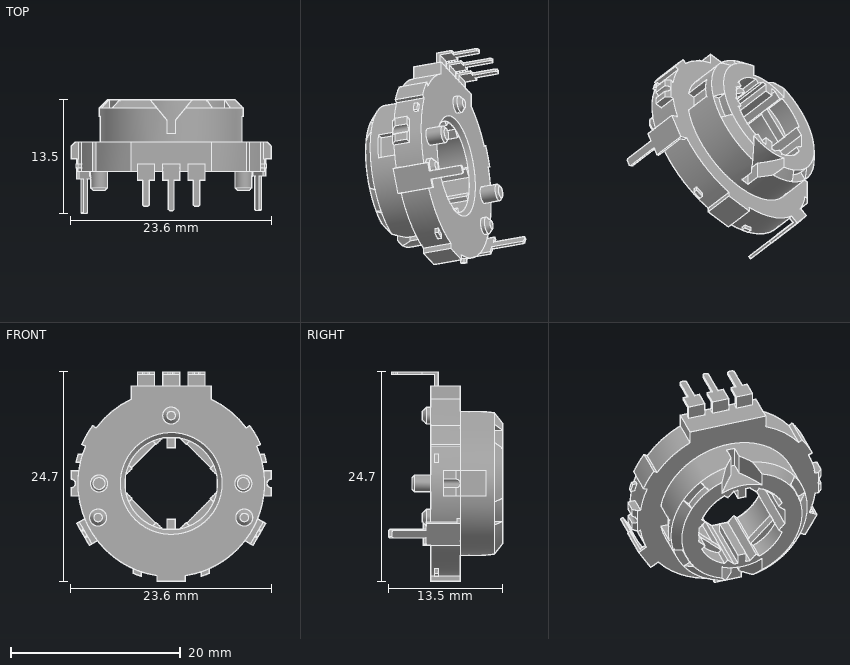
import cadquery as cq
import math


housing_radius = 11.0
housing_depth = 3.5
mouth_radius = 6.0
bore_radius = 5.45
mouth_chamfer = mouth_radius - bore_radius
mouth_taper = 45.0
header_width = 9.45
header_top = 11.5
foot_width = 3.36
foot_bottom = 11.53
ear_radius = 11.5
ear_angle = 30.0
ear_span = 13.0

latch_reach = 11.8
latch_root = 10.0
latch_width = 3.0
latch_bottom = 1.5
latch_chamfer = 0.5
latch_groove_radius = 0.5

collar_radius = 8.5
collar_top = 8.5
collar_chamfer = 1.0
window_top = 6.5
window_width = latch_width
window_floor = 7.5
pocket_width = 3.0
pocket_floor_radius = collar_radius - collar_chamfer
pocket_bottom = collar_top - collar_chamfer
pocket_angles = (25.0, 45.0)

funnel_floor_radius = 6.0
funnel_top_half_width = 2.5
funnel_slot_width = 1.0
funnel_slot_top = 6.06
funnel_slot_bottom = 4.5

axis_flat = 5.38
diagonal = 45.0
pad_flat = 4.5
pad_gap_width = 4.0
snap_flat = 4.6
snap_bottom = 5.3
snap_thickness = 1.0
key_width = 1.0
key_inner = 4.2
key_bottom = 2.0
bore_overlap = 0.3

peg_radius = 1.0
peg_length = 2.2
peg_chamfer = 0.3
peg_distance = 8.5
stud_length = 1.0
stud_chamfer = 0.5
upper_stud_distance = 8.0
lower_stud_distance = 9.5
lower_stud_angle = 25.0

contact_bottom = 0.45
contact_top = 0.91
contact_radius = 11.5
contact_root = 8.5
contact_tab_width = 0.97
side_tab_center = 2.97
bottom_tab_center = 4.0

signal_pitch = 2.98
signal_top = 13.15
signal_thickness = 0.32
signal_pad_width = 2.03
signal_pad_end = -1.04
outer_pin_width = 0.8
outer_pin_end = -4.1
middle_pin_width = 0.7
middle_pin_end = -4.62
signal_tip_chamfer = 0.18

switch_angle = 30.0
switch_distance = 12.0
switch_thickness = 0.35
switch_width = 3.0
switch_arm_thickness = 0.4
switch_arm_root = 10.3
switch_pin_width = 1.0
switch_tip_chamfer = 0.15
left_switch_pad_end = -0.89
left_switch_pin_end = -4.95
switch_stagger = 0.37


def layer(y_bottom, y_top):
    """Workplane for a profile in (X, Z) that is extruded from y_top down to y_bottom."""
    return cq.Workplane("XZ", origin=(0, y_top, 0)), y_top - y_bottom


def disc(radius, y_bottom, y_top):
    plane, depth = layer(y_bottom, y_top)
    return plane.circle(radius).extrude(depth)


def block(x_range, y_range, z_range):
    """Axis-aligned box between the given limits."""
    lows, highs = zip(x_range, y_range, z_range)
    sizes = [high - low for low, high in zip(lows, highs)]
    return cq.Workplane("XY").box(*sizes, centered=False).translate(lows)


def centered_block(width, y_range, z_range):
    return block((-width / 2, width / 2), y_range, z_range)


def turned(shape, angle):
    """Rotate about the shaft axis, from +X toward +Z for positive angles."""
    return shape.rotate((0, 0, 0), (0, 1, 0), -angle)


def mirrored(shape):
    """The shape together with its mirror image across the X = 0 plane."""
    return shape.union(shape.mirror("YZ"))


def ear():
    """Raised sector on the housing rim."""
    half_span = math.radians(ear_span / 2)
    reach = 2 * ear_radius
    plane, depth = layer(0, housing_depth)
    tip = reach * math.tan(half_span)
    wedge = plane.polyline([(0, 0), (reach, -tip), (reach, tip)]).close().extrude(depth)
    sector = wedge.intersect(disc(ear_radius, 0, housing_depth))
    return turned(sector, ear_angle)


def latch():
    """Side hook with a lead-in chamfer and a half-round groove down its outer face."""
    hook = block(
        (latch_root, latch_reach),
        (latch_bottom, housing_depth),
        (-latch_width / 2, latch_width / 2),
    )
    hook = hook.faces(">X").edges(">Y").chamfer(latch_chamfer)
    groove = disc(latch_groove_radius, latch_bottom, housing_depth)
    return hook.cut(groove.translate((latch_reach, 0, 0)))


def housing():
    body = disc(housing_radius, 0, housing_depth)
    body = body.union(centered_block(header_width, (0, housing_depth), (0, header_top)))
    body = body.union(centered_block(foot_width, (0, housing_depth), (-foot_bottom, 0)))
    return body.union(mirrored(ear())).union(mirrored(latch()))


def collar_pockets():
    """Pockets that cut the collar chamfer back to its rim radius, in two opposite pairs."""
    strip = block(
        (0, housing_radius),
        (pocket_bottom, collar_top),
        (-pocket_width / 2, pocket_width / 2),
    )
    pocket = strip.cut(disc(pocket_floor_radius, pocket_bottom, collar_top))
    shallow_angle, steep_angle = pocket_angles
    pockets = cq.Workplane("XY")
    for angle in (steep_angle, 180 - shallow_angle):
        for half_turn in (0, 180):
            pockets = pockets.union(turned(pocket, angle + half_turn))
    return pockets


def funnel_recesses():
    """V-shaped recesses narrowing to a slot, sunk to a cylindrical floor on the +Z and -Z sides."""
    slot_half = funnel_slot_width / 2
    right_side = [
        (slot_half, funnel_slot_bottom),
        (slot_half, funnel_slot_top),
        (funnel_top_half_width, collar_top),
    ]
    left_side = [(-x, y) for x, y in reversed(right_side)]
    profile = cq.Workplane("XY").polyline(right_side + left_side).close()
    through = profile.extrude(collar_radius, both=True)
    return through.cut(disc(funnel_floor_radius, 0, collar_top))


def collar():
    body = disc(collar_radius, housing_depth, collar_top)
    body = body.faces(">Y").edges().chamfer(collar_chamfer)
    side_window = block(
        (window_floor, collar_radius),
        (housing_depth, window_top),
        (-window_width / 2, window_width / 2),
    )
    return body.cut(mirrored(side_window)).cut(collar_pockets()).cut(funnel_recesses())


def square_prism(half_width, y_bottom, y_top):
    return centered_block(2 * half_width, (y_bottom, y_top), (-half_width, half_width))


def bore():
    """Material removed along the axis: a flared mouth, then an octagonal passage whose four
    diagonal flats are split by round-bottomed gaps."""
    plane, _ = layer(0, 0)
    mouth = plane.circle(mouth_radius).extrude(-mouth_chamfer, taper=mouth_taper)
    y_range = (mouth_chamfer, collar_top)
    round_passage = disc(bore_radius, *y_range)
    passage = round_passage.intersect(square_prism(axis_flat, *y_range))
    passage = passage.intersect(turned(square_prism(pad_flat, *y_range), diagonal))
    gap = centered_block(pad_gap_width, y_range, (-bore_radius, bore_radius))
    for angle in (diagonal, diagonal + 90):
        passage = passage.union(turned(gap, angle).intersect(round_passage))
    return passage.union(mouth)


def snap_bars():
    """Straight bars that bridge the four diagonal gaps part way up the bore."""
    y_range = (snap_bottom, snap_bottom + snap_thickness)
    ring = disc(bore_radius + bore_overlap, *y_range)
    return ring.cut(turned(square_prism(snap_flat, *y_range), diagonal))


def key_ribs():
    """Two opposed ribs on the upper and lower flats of the bore."""
    upper = centered_block(key_width, (key_bottom, collar_top), (key_inner, axis_flat + bore_overlap))
    return upper.union(turned(upper, 180))


def pin(radius, length, chamfer, x, z):
    """Round post standing out of the mounting face, chamfered at its end."""
    post = disc(radius, -length, 0).faces("<Y").edges().chamfer(chamfer)
    return post.translate((x, 0, z))


def pegs_and_studs():
    angle = math.radians(lower_stud_angle)
    lower_x = lower_stud_distance * math.cos(angle)
    lower_z = -lower_stud_distance * math.sin(angle)
    upper_stud = pin(peg_radius, stud_length, stud_chamfer, 0, upper_stud_distance)
    lower_stud = pin(peg_radius, stud_length, stud_chamfer, lower_x, lower_z)
    peg = pin(peg_radius, peg_length, peg_chamfer, peg_distance, 0)
    return mirrored(peg.union(lower_stud)).union(upper_stud)


def contact_tabs():
    """Small tabs of the contact plate that show through the rim at the sides and the bottom."""
    half_tab = contact_tab_width / 2
    y_range = (contact_bottom, contact_top)
    side = block(
        (contact_root, contact_radius),
        y_range,
        (side_tab_center - half_tab, side_tab_center + half_tab),
    )
    bottom = block(
        (bottom_tab_center - half_tab, bottom_tab_center + half_tab),
        y_range,
        (-contact_radius, -contact_root),
    )
    return mirrored(side.union(bottom)).intersect(disc(contact_radius, *y_range))


def terminal_blade(pad_width, pad_range, pin_width, pin_end, tip_chamfer, z_range):
    """Flat terminal: a wide pad followed by a narrow pin with chamfered tip corners."""
    pad_end = pad_range[0]
    blade_pin = centered_block(pin_width, (pin_end, pad_end), z_range)
    blade_pin = blade_pin.faces("<Y").edges("|Z").chamfer(tip_chamfer)
    return centered_block(pad_width, pad_range, z_range).union(blade_pin)


def signal_terminal(x, pin_width, pin_end):
    blade = terminal_blade(
        signal_pad_width,
        (signal_pad_end, contact_top),
        pin_width,
        pin_end,
        signal_tip_chamfer,
        (signal_top - signal_thickness, signal_top),
    )
    leg = centered_block(signal_pad_width, (contact_bottom, contact_top), (contact_root, signal_top))
    return blade.union(leg).translate((x, 0, 0))


def signal_terminals():
    outer = signal_terminal(signal_pitch, outer_pin_width, outer_pin_end)
    return mirrored(outer).union(signal_terminal(0, middle_pin_width, middle_pin_end))


def switch_terminal(stagger):
    """Angled terminal on the +X side; stagger ends its pad and pin that much closer to the housing."""
    blade = terminal_blade(
        switch_width,
        (left_switch_pad_end + stagger, housing_depth),
        switch_pin_width,
        left_switch_pin_end + stagger,
        switch_tip_chamfer,
        (switch_distance - switch_thickness, switch_distance),
    )
    arm_bottom = housing_depth - switch_arm_thickness
    arm = centered_block(switch_width, (arm_bottom, housing_depth), (switch_arm_root, switch_distance))
    return turned(blade.union(arm), -90 - switch_angle)


def switch_terminals():
    left = switch_terminal(0).mirror("YZ")
    return left.union(switch_terminal(switch_stagger))


result = housing().union(collar()).cut(bore())
for feature in (snap_bars, key_ribs, pegs_and_studs, contact_tabs, signal_terminals, switch_terminals):
    result = result.union(feature())